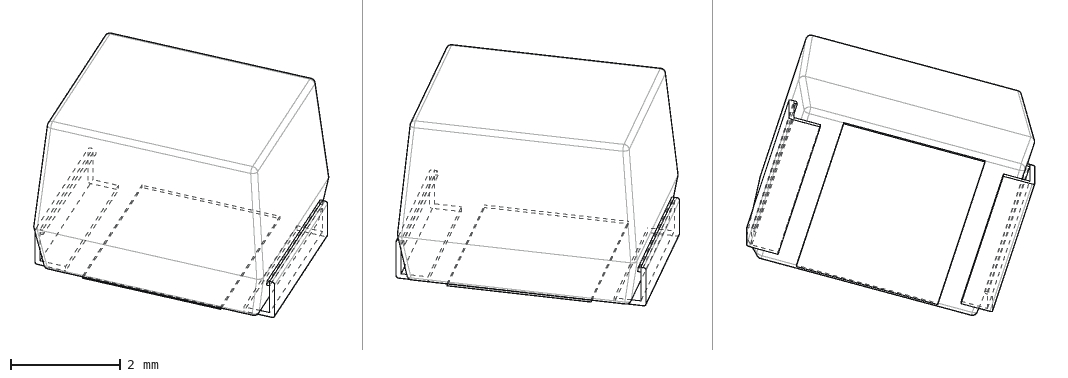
import cadquery as cq
import math

overall_length = 4.7
overall_height = 3.4

lead_thickness = 0.1
lead_width = 2.702
lead_height = 0.805
foot_length = 0.6
lead_bend_radius = 0.05
tab_thickness = lead_thickness

housing_length = 4.503
housing_width = 3.5
housing_bottom = lead_thickness
parting_height = 1.1
upper_draft = 5.0
lower_draft = 9.0
housing_edge_radius = 0.1

plate_length = 2.702
plate_width = 3.025
plate_thickness = 0.05


def make_housing_half(height, draft):
    """Tapered block rising from the parting plane, or falling where height is negative."""
    parting_plane = cq.Workplane("XY").workplane(offset=parting_height)
    return parting_plane.rect(housing_length, housing_width).extrude(height, taper=draft)


def make_housing():
    """One solid that tapers both ways from a sharp parting line, rounded on all other edges."""
    upper = make_housing_half(overall_height - parting_height, upper_draft)
    lower = make_housing_half(housing_bottom - parting_height, lower_draft)
    block = upper.union(lower)
    sloped_corners = block.edges("not #Z")
    rims = block.edges(">Z or <Z")
    return sloped_corners.add(rims).fillet(housing_edge_radius)


def make_lead(side):
    """L-shaped strip: an upright with its foot turned in under the housing."""
    outer_x = overall_length / 2
    inner_x = outer_x - lead_thickness
    foot_end_x = outer_x - foot_length
    profile = [
        (side * outer_x, 0),
        (side * outer_x, lead_height),
        (side * inner_x, lead_height),
        (side * inner_x, lead_thickness),
        (side * foot_end_x, lead_thickness),
        (side * foot_end_x, 0),
    ]
    strip = cq.Workplane("XZ").polyline(profile).close().extrude(lead_width / 2, both=True)
    outer_face = ">X" if side > 0 else "<X"
    return strip.faces(outer_face).edges("|Y").fillet(lead_bend_radius)


def housing_end_x(z):
    """Half length of the housing at height z, below the parting plane."""
    return housing_length / 2 - (parting_height - z) * math.tan(math.radians(lower_draft))


def make_tab(side):
    """Bar filling the gap between the top of a lead and the sloped housing end."""
    lead_x = overall_length / 2 - lead_thickness
    tab_bottom = lead_height - tab_thickness
    profile = [
        (side * lead_x, tab_bottom),
        (side * lead_x, lead_height),
        (side * housing_end_x(lead_height), lead_height),
        (side * housing_end_x(tab_bottom), tab_bottom),
    ]
    return cq.Workplane("XZ").polyline(profile).close().extrude(lead_width / 2, both=True)


def make_plate():
    underside = cq.Workplane("XY").workplane(offset=housing_bottom)
    return underside.rect(plate_length, plate_width).extrude(-plate_thickness)


housing = make_housing()
leads = [make_lead(side) for side in (-1, 1)]
tabs = [make_tab(side) for side in (-1, 1)]
plate = make_plate()

result = cq.Compound.makeCompound([
    housing.solids().val(),
    *[lead.val() for lead in leads],
    *[tab.val() for tab in tabs],
    plate.val(),
])